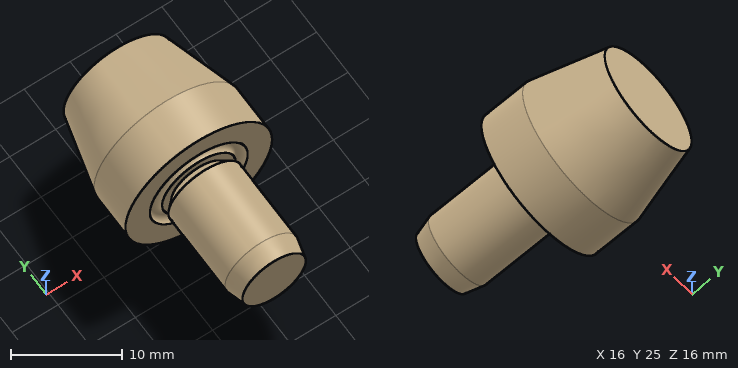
import cadquery as cq
import math

total_length = 25.0
head_length = 13.0
head_band_length = 5.0
head_radius = 8.0
shank_radius = 4.0
taper_angle = math.radians(15)

tip_length = 2.0
neck_length = 1.0

groove_outer_radius = 5.32

head_face_y = total_length - head_length
taper_start_y = head_face_y + head_band_length
head_end_radius = head_radius - (total_length - taper_start_y) * math.tan(taper_angle)
tip_radius = shank_radius - tip_length * math.tan(taper_angle)
neck_radius = shank_radius - neck_length
groove_radius = (groove_outer_radius - shank_radius) / 2
groove_center_radius = shank_radius + groove_radius

profile = (
    cq.Workplane("XY")
    .moveTo(0, 0)
    .lineTo(tip_radius, 0)
    .lineTo(shank_radius, tip_length)
    .lineTo(shank_radius, head_face_y - neck_length)
    .lineTo(neck_radius, head_face_y)
    .lineTo(shank_radius, head_face_y)
    .threePointArc(
        (groove_center_radius, head_face_y + groove_radius),
        (groove_outer_radius, head_face_y),
    )
    .lineTo(head_radius, head_face_y)
    .lineTo(head_radius, taper_start_y)
    .lineTo(head_end_radius, total_length)
    .lineTo(0, total_length)
    .close()
)

result = profile.revolve(360, (0, 0, 0), (0, 1, 0))